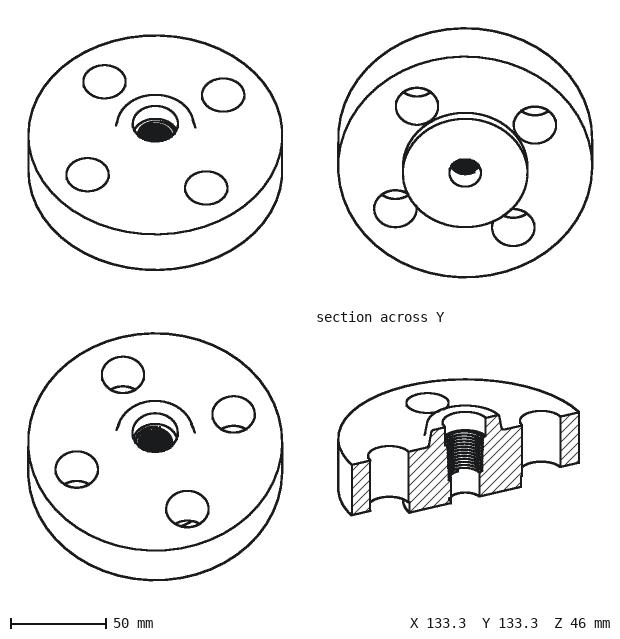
import cadquery as cq
import math

flange_diameter = 133.3
flange_thickness = 30.1
raised_face_diameter = 65.5
raised_face_height = 6.4

hub_height = 9.5
hub_base_radius = 21.6
hub_top_radius = 19.9
hub_fillet = 1.5

bolt_hole_count = 4
bolt_hole_diameter = 22.3
bolt_circle_diameter = 88.9

socket_diameter = 23.7
socket_depth = 10.8
bore_radius = 8.3

thread_mouth_radius = 8.9
thread_taper = 1 / 32
thread_turns = 12
thread_depth = 1.6
thread_crest_flat = 0.1
groove_overlap = 0.1

flange_bottom = raised_face_height
flange_top = flange_bottom + flange_thickness
total_height = flange_top + hub_height
socket_floor = total_height - socket_depth
thread_length = (thread_mouth_radius - bore_radius) / thread_taper
thread_pitch = thread_length / thread_turns
thread_bottom = socket_floor - thread_length


def flange_body():
    """Plate with a raised face below and a filleted conical hub above."""
    raised_face = cq.Workplane("XY").circle(raised_face_diameter / 2).extrude(raised_face_height)
    plate = (
        cq.Workplane("XY", origin=(0, 0, flange_bottom))
        .circle(flange_diameter / 2)
        .extrude(flange_thickness)
    )
    hub = (
        cq.Workplane("XZ")
        .moveTo(0, flange_bottom)
        .lineTo(hub_base_radius, flange_bottom)
        .lineTo(hub_base_radius, flange_top)
        .lineTo(hub_top_radius, total_height)
        .lineTo(0, total_height)
        .close()
        .revolve(360, (0, 0, 0), (0, 1, 0))
    )
    body = plate.union(raised_face).union(hub)
    return body.faces("%CONE").edges().fillet(hub_fillet)


def bore_cutter():
    """Socket, crest cone of the thread and plain bore, revolved about Z."""
    return (
        cq.Workplane("XZ")
        .lineTo(bore_radius, 0)
        .lineTo(bore_radius, thread_bottom)
        .lineTo(thread_mouth_radius, socket_floor)
        .lineTo(socket_diameter / 2, socket_floor)
        .lineTo(socket_diameter / 2, total_height)
        .lineTo(0, total_height)
        .close()
        .revolve(360, (0, 0, 0), (0, 1, 0))
    )


def thread_cutter():
    """V groove swept up a tapered right-hand helix, one pitch past the socket floor."""
    groove_length = thread_length + thread_pitch
    half_width = (thread_pitch - thread_crest_flat) / 2
    inner_half_width = half_width * (1 + groove_overlap / thread_depth)
    helix = cq.Wire.makeHelix(
        thread_pitch, groove_length, bore_radius, angle=math.degrees(math.atan(thread_taper))
    )
    groove = (
        cq.Workplane("XZ")
        .moveTo(bore_radius - groove_overlap, -inner_half_width)
        .lineTo(bore_radius + thread_depth, 0)
        .lineTo(bore_radius - groove_overlap, inner_half_width)
        .close()
        .sweep(cq.Workplane(obj=helix), isFrenet=True)
    )
    turn_at_floor = 360 * thread_turns
    return groove.rotate((0, 0, 0), (0, 0, 1), 90 - turn_at_floor).translate((0, 0, thread_bottom))


bolt_holes = (
    cq.Workplane("XY", origin=(0, 0, flange_bottom))
    .polarArray(bolt_circle_diameter / 2, 0, 360, bolt_hole_count)
    .circle(bolt_hole_diameter / 2)
    .extrude(flange_thickness)
)

result = flange_body().cut(bolt_holes).cut(bore_cutter()).cut(thread_cutter())